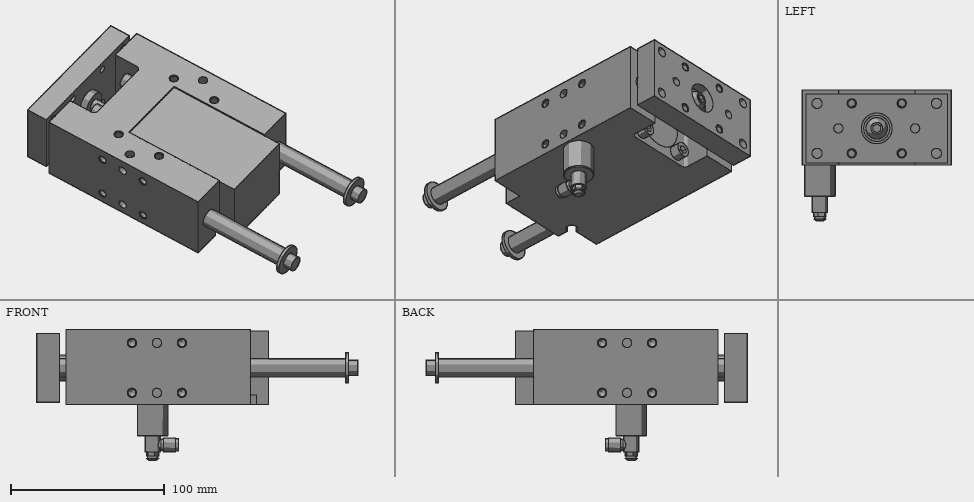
import cadquery as cq
import math


OVERCUT = 1.0
PITCH = 32.5

HOUSING_FRONT = 19.0
HOUSING_LENGTH = 120.0
HOUSING_WIDTH = 97.0
HOUSING_TOP = 25.0
HOUSING_HEIGHT = 49.0
HOUSING_REAR = HOUSING_FRONT + HOUSING_LENGTH
HOUSING_BOTTOM = HOUSING_TOP - HOUSING_HEIGHT

NOTCH_WIDTH = 50.0
NOTCH_DEPTH = 20.0
NOTCH_FILLET = 3.0
NOTCH_REAR = HOUSING_FRONT + NOTCH_DEPTH
CYLINDER_FRONT = 66.3
CYLINDER_REAR = 151.0
CYLINDER_WIDTH = NOTCH_WIDTH
CYLINDER_TOP_DROP = 1.0
COLLAR_BORE_DIAMETER = 36.0

RECESS_DIAMETER = 8.0
RECESS_TOP = -17.8

BOLT_SPACING = 33.2
BOLT_HEAD_DIAMETER = 10.0
BOLT_HEAD_HEIGHT = 6.5
BOLT_SOCKET_SIZE = 5.0
BOLT_SOCKET_DEPTH = 3.0

THREAD_DIAMETER = 4.92
THREAD_MOUTH_DIAMETER = 6.0
THREAD_MOUTH_ANGLE = 90.0
THREAD_DEPTH = 10.0
DRILL_POINT_ANGLE = 118.0
DOWEL_DIAMETER = 6.0
HOUSING_DOWEL_DEPTH = 5.0
PATTERN_X = 78.25
TOP_THREAD_SPACING = 61.0
TOP_DOWEL_SPACING = 81.0

CLAMP_X = 75.5
CLAMP_Y = 37.0
CLAMP_DIAMETER = 20.0
CLAMP_LENGTH = 20.5
CLAMP_CHAMFER = 0.6
SWIVEL_DIAMETER = 10.0
SWIVEL_LENGTH = 10.2
NUT_SIZE = 7.2
NUT_TURN = -15.0
NUT_LENGTH = 2.6
PLUG_NECK_DIAMETER = 7.0
PLUG_NECK_LENGTH = 1.6
PLUG_DIAMETER = 8.0
PLUG_TIP_DIAMETER = 4.5
OVERALL_HEIGHT = 85.26
FITTING_BOTTOM = HOUSING_TOP - OVERALL_HEIGHT
BRANCH_Z = -50.1
BRANCH_NECK_DIAMETER = 7.0
BRANCH_DIAMETER = 9.0
BRANCH_COLLAR_DIAMETER = 8.2
BRANCH_FLARE_START = 81.0
BRANCH_START = 82.5
BRANCH_COLLAR_START = 90.2
BRANCH_END = 92.4

PLATE_THICKNESS = 15.0
PLATE_WIDTH = 92.0
PLATE_HEIGHT = 45.0
PLATE_CORNER_HOLE_DIAMETER = 6.6
PLATE_CORNER_SPACING = 77.7
PLATE_DOWEL_SPACING = 50.0
PLATE_DOWEL_DEPTH = 10.0
COUPLING_RECESS_DIAMETER = 20.0
COUPLING_RECESS_DEPTH = 6.5

BUSH_DIAMETER = 17.0
BUSH_FRONT = 5.5
BUSH_REAR = 20.0
SCREW_HEAD_DIAMETER = 14.0
SCREW_FLAT_DIAMETER = 7.6
SCREW_HEAD_FRONT = 1.1
SCREW_SOCKET_SIZE = 5.0
SCREW_SOCKET_DEPTH = 2.5
SCREW_SHANK_DIAMETER = 8.0
SCREW_END = 30.2

ROD_SPACING = 74.0
ROD_DIAMETER = 12.0
ROD_END = 201.0
WASHER_DIAMETER = 20.0
WASHER_THICKNESS = 2.0
STOP_DIAMETER = 10.0
STOP_END = 209.0

MIRRORED = (-1, 1)


def rod_along_x(diameter, start, end, y=0.0, z=0.0):
    """Round bar parallel to X."""
    return cq.Workplane("YZ", origin=(start, y, z)).circle(diameter / 2).extrude(end - start)


def rod_down(diameter, top, length, x, y):
    """Round bar going down from a top height."""
    return cq.Workplane("XY", origin=(x, y, top)).circle(diameter / 2).extrude(-length)


def hex_along_x(size, start, end, y=0.0, z=0.0):
    """Hexagonal bar parallel to X, with its flats facing +Y and -Y."""
    bar = cq.Workplane("YZ", origin=(start, y, z))
    corners = size / math.cos(math.pi / 6)
    return bar.transformed(rotate=(0, 0, 90)).polygon(6, corners).extrude(end - start)


def corner_points(width, height):
    """The four corners of a rectangle centred on the origin."""
    return [(i * width / 2, j * height / 2) for i in MIRRORED for j in MIRRORED]


def threaded_hole(point, inward):
    """Blind tapping hole with a chamfered mouth and a drill point."""
    radius = THREAD_DIAMETER / 2
    mouth = THREAD_MOUTH_DIAMETER / 2
    mouth_depth = (mouth - radius) / math.tan(math.radians(THREAD_MOUTH_ANGLE / 2))
    point_length = radius / math.tan(math.radians(DRILL_POINT_ANGLE / 2))
    profile = [
        (0, 0),
        (mouth, 0),
        (radius, mouth_depth),
        (radius, THREAD_DEPTH),
        (0, THREAD_DEPTH + point_length),
    ]
    across = cq.Vector(1, 0, 0)
    axis_plane = cq.Plane(origin=point, xDir=across, normal=across.cross(cq.Vector(*inward)))
    return cq.Workplane(axis_plane).polyline(profile).close().revolve(360, (0, 0), (0, 1))


def dowel_hole(point, inward):
    """Blind flat-bottomed dowel hole."""
    radius = DOWEL_DIAMETER / 2
    hole = cq.Solid.makeCylinder(radius, HOUSING_DOWEL_DEPTH, cq.Vector(*point), cq.Vector(*inward))
    return cq.Workplane(hole)


def housing_block():
    """Block with the front notch, the collar bore and the two guide bores."""
    block = cq.Workplane("XY").box(
        HOUSING_LENGTH, HOUSING_WIDTH, HOUSING_HEIGHT, centered=(False, True, False)
    ).translate((HOUSING_FRONT, 0, HOUSING_BOTTOM))
    notch = cq.Workplane("XY").box(
        NOTCH_DEPTH + OVERCUT, NOTCH_WIDTH, HOUSING_HEIGHT, centered=(False, True, False)
    ).edges("|Z and >X").fillet(NOTCH_FILLET)
    block = block.cut(notch.translate((HOUSING_FRONT - OVERCUT, 0, HOUSING_BOTTOM)))
    block = block.cut(rod_along_x(COLLAR_BORE_DIAMETER, NOTCH_REAR - OVERCUT, CYLINDER_FRONT))
    for side in MIRRORED:
        block = block.cut(rod_along_x(ROD_DIAMETER, HOUSING_FRONT, HOUSING_REAR, side * ROD_SPACING / 2))
    return block


def add_cylinder(body):
    """Set the cylinder into the open-ended seat at the rear, slightly below the top face."""
    length = CYLINDER_REAR - CYLINDER_FRONT
    envelope = cq.Workplane("XY").box(
        length, CYLINDER_WIDTH, HOUSING_HEIGHT, centered=(False, True, False)
    ).translate((CYLINDER_FRONT, 0, HOUSING_BOTTOM))
    above_cylinder = cq.Workplane("XY").box(
        length, CYLINDER_WIDTH, CYLINDER_TOP_DROP, centered=(False, True, False)
    ).translate((CYLINDER_FRONT, 0, HOUSING_TOP - CYLINDER_TOP_DROP))
    recess = rod_down(
        RECESS_DIAMETER, RECESS_TOP, RECESS_TOP - HOUSING_BOTTOM, HOUSING_REAR, -CYLINDER_WIDTH / 2
    )
    return body.union(envelope).cut(above_cylinder).cut(recess)


def add_cylinder_bolts(body):
    """Socket-head bolts on the rear wall of the notch."""
    head_front = NOTCH_REAR - BOLT_HEAD_HEIGHT
    for y, z in corner_points(BOLT_SPACING, BOLT_SPACING):
        body = body.union(rod_along_x(BOLT_HEAD_DIAMETER, head_front, NOTCH_REAR + OVERCUT, y, z))
        body = body.cut(hex_along_x(BOLT_SOCKET_SIZE, head_front, head_front + BOLT_SOCKET_DEPTH, y, z))
    return body


def cut_housing_holes(body):
    """Threaded and dowel holes in the top and in both sides."""
    down = (0, 0, -1)
    for i, j in corner_points(PITCH, TOP_THREAD_SPACING):
        body = body.cut(threaded_hole((PATTERN_X + i, j, HOUSING_TOP), down))
    for side in MIRRORED:
        body = body.cut(dowel_hole((PATTERN_X, side * TOP_DOWEL_SPACING / 2, HOUSING_TOP), down))
        face_y = side * HOUSING_WIDTH / 2
        inward = (0, -side, 0)
        for i, j in corner_points(PITCH, PITCH):
            body = body.cut(threaded_hole((PATTERN_X + i, face_y, j), inward))
        for level in MIRRORED:
            body = body.cut(dowel_hole((PATTERN_X, face_y, level * PITCH / 2), inward))
    return body


def clamping_unit():
    """Stepped round clamping unit with swivel, nut, plug and side branch."""
    swivel_top = HOUSING_BOTTOM - CLAMP_LENGTH
    nut_top = swivel_top - SWIVEL_LENGTH
    neck_top = nut_top - NUT_LENGTH
    plug_top = neck_top - PLUG_NECK_LENGTH
    unit = rod_down(CLAMP_DIAMETER, HOUSING_BOTTOM, CLAMP_LENGTH, CLAMP_X, CLAMP_Y)
    unit = unit.faces("<Z").chamfer(CLAMP_CHAMFER)
    unit = unit.union(rod_down(SWIVEL_DIAMETER, swivel_top, SWIVEL_LENGTH, CLAMP_X, CLAMP_Y))
    nut = cq.Workplane("XY", origin=(CLAMP_X, CLAMP_Y, nut_top)).transformed(rotate=(0, 0, NUT_TURN))
    unit = unit.union(nut.polygon(6, NUT_SIZE / math.cos(math.pi / 6)).extrude(-NUT_LENGTH))
    unit = unit.union(rod_down(PLUG_NECK_DIAMETER, neck_top, PLUG_NECK_LENGTH, CLAMP_X, CLAMP_Y))
    plug = cq.Solid.makeCone(
        PLUG_DIAMETER / 2,
        PLUG_TIP_DIAMETER / 2,
        plug_top - FITTING_BOTTOM,
        cq.Vector(CLAMP_X, CLAMP_Y, plug_top),
        cq.Vector(0, 0, -1),
    )
    unit = unit.union(cq.Workplane(plug))
    branch_steps = [
        (BRANCH_NECK_DIAMETER, CLAMP_X, BRANCH_START),
        (BRANCH_DIAMETER, BRANCH_START, BRANCH_COLLAR_START),
        (BRANCH_COLLAR_DIAMETER, BRANCH_COLLAR_START, BRANCH_END),
    ]
    for diameter, start, end in branch_steps:
        unit = unit.union(rod_along_x(diameter, start, end, CLAMP_Y, BRANCH_Z))
    flare = cq.Solid.makeCone(
        BRANCH_NECK_DIAMETER / 2,
        BRANCH_COLLAR_DIAMETER / 2,
        BRANCH_START - BRANCH_FLARE_START,
        cq.Vector(BRANCH_FLARE_START, CLAMP_Y, BRANCH_Z),
        cq.Vector(1, 0, 0),
    )
    return unit.union(cq.Workplane(flare))


def make_housing():
    body = add_cylinder(housing_block())
    body = add_cylinder_bolts(body)
    body = cut_housing_holes(body)
    return body.union(clamping_unit())


def slide_plate():
    """Front plate with its hole patterns and the recess for the coupling."""
    plate = cq.Workplane("YZ").rect(PLATE_WIDTH, PLATE_HEIGHT).extrude(PLATE_THICKNESS)
    for y, z in corner_points(PLATE_CORNER_SPACING, PITCH):
        plate = plate.cut(rod_along_x(PLATE_CORNER_HOLE_DIAMETER, 0, PLATE_THICKNESS, y, z))
    for side in MIRRORED:
        plate = plate.cut(rod_along_x(DOWEL_DIAMETER, 0, PLATE_DOWEL_DEPTH, side * PLATE_DOWEL_SPACING / 2))
    plate = plate.faces("<X").workplane(origin=(0, 0, 0))
    threads = plate.pushPoints(corner_points(PITCH, PITCH))
    plate = threads.cskHole(THREAD_DIAMETER, THREAD_MOUTH_DIAMETER, THREAD_MOUTH_ANGLE)
    return plate.cut(rod_along_x(COUPLING_RECESS_DIAMETER, 0, COUPLING_RECESS_DEPTH))


def coupling():
    """Bush through the plate, held by a domed button-head screw."""
    bush = rod_along_x(BUSH_DIAMETER, BUSH_FRONT, BUSH_REAR)
    shank = rod_along_x(SCREW_SHANK_DIAMETER, BUSH_REAR, SCREW_END)
    head_radius = SCREW_HEAD_DIAMETER / 2
    flat_radius = SCREW_FLAT_DIAMETER / 2
    head = (
        cq.Workplane("XY")
        .moveTo(SCREW_HEAD_FRONT, 0)
        .lineTo(BUSH_FRONT, 0)
        .lineTo(BUSH_FRONT, head_radius)
        .radiusArc((SCREW_HEAD_FRONT, flat_radius), -head_radius)
        .close()
        .revolve(360, (0, 0), (1, 0))
    )
    socket = hex_along_x(SCREW_SOCKET_SIZE, SCREW_HEAD_FRONT, SCREW_HEAD_FRONT + SCREW_SOCKET_DEPTH)
    return bush.union(shank).union(head).cut(socket)


def guide_rod(y):
    """Guide rod with an end washer and a stop screw head."""
    washer_end = ROD_END + WASHER_THICKNESS
    rod = rod_along_x(ROD_DIAMETER, PLATE_THICKNESS, ROD_END, y)
    rod = rod.union(rod_along_x(WASHER_DIAMETER, ROD_END, washer_end, y))
    return rod.union(rod_along_x(STOP_DIAMETER, washer_end, STOP_END, y))


def make_slide():
    body = slide_plate().union(coupling())
    for side in MIRRORED:
        body = body.union(guide_rod(side * ROD_SPACING / 2))
    return body


housing = make_housing()
slide = make_slide()
result = cq.Compound.makeCompound([housing.val(), slide.val()])